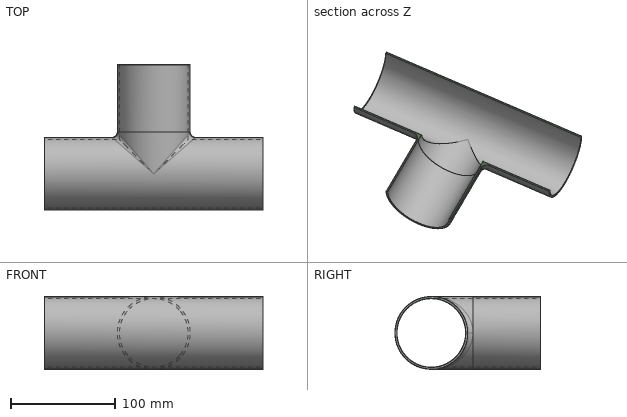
import cadquery as cq

run_length = 210.0
outer_diameter = run_length / 3
bore_diameter = 66.0
branch_end_y = run_length / 2
fillet_radius = 5.0

outer_radius = outer_diameter / 2
bore_radius = bore_diameter / 2
stub_end_y = outer_radius + fillet_radius


def run_cylinder(radius):
    """Solid cylinder along the full length of the run, centred on the origin."""
    return cq.Workplane("YZ").circle(radius).extrude(run_length / 2, both=True)


def branch_cylinder(radius, start_y, end_y):
    """Solid cylinder along the branch axis between two Y positions."""
    return cq.Workplane("XZ", origin=(0, start_y, 0)).circle(radius).extrude(start_y - end_y)


def make_tee():
    """Run pipe with a short branch stub, filleted along the crotch seam."""
    outside = run_cylinder(outer_radius).union(branch_cylinder(outer_radius, 0, branch_end_y))
    seam = outside.edges("%ELLIPSE or %BSPLINE")
    outside = seam.fillet(fillet_radius)
    branch_space = branch_cylinder(outer_radius + fillet_radius, stub_end_y, branch_end_y)
    branch_bore = branch_cylinder(bore_radius, 0, branch_end_y)
    return outside.cut(branch_space).cut(run_cylinder(bore_radius)).cut(branch_bore)


def make_branch_pipe():
    """Plain pipe that butts against the end of the stub."""
    outside = branch_cylinder(outer_radius, stub_end_y, branch_end_y)
    return outside.cut(branch_cylinder(bore_radius, stub_end_y, branch_end_y))


tee = make_tee()
branch_pipe = make_branch_pipe()

result = cq.Compound.makeCompound([tee.solids().val(), branch_pipe.val()])